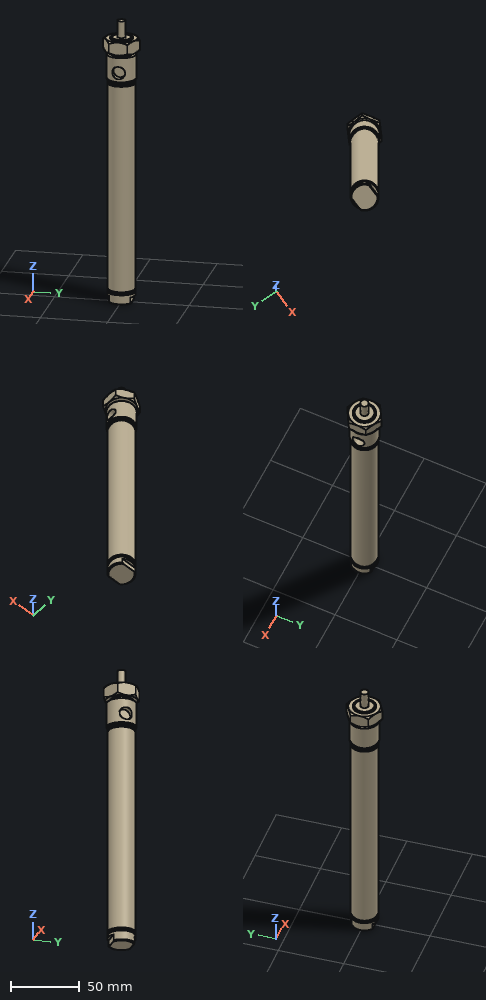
import cadquery as cq
import math

total_length = 215.1
stud_top = 202.5
nut_top = 201.8
nut_thickness = 10.0
collar_top = 189.5
collar_bottom = 171.0

tube_radius = 10.3
collar_radius = 11.0
stud_radius = 8.0
rod_radius = 3.0

stud_chamfer = 0.9
end_chamfer = 0.9

groove_width = 1.3
groove_depth = 0.6
groove_pitch = 1.3
lower_groove_center = 8.8
upper_groove_center = 168.7

flat_width = 16.0
flat_height = 5.2

port_radius = 4.7
port_depth = 5.4
port_height = 178.1

nut_across_flats = 23.9
nut_across_corners = nut_across_flats / math.cos(math.radians(30))
nut_face_radius = 11.8
nut_corner_drop = 1.5
nut_bore_chamfer = 0.6


def cylinder(radius, bottom, top):
    return cq.Workplane("XY").workplane(offset=bottom).circle(radius).extrude(top - bottom)


def roll_groove(center):
    """V-section ring to remove around the tube at one height."""
    half_width = groove_width / 2
    return (
        cq.Workplane("XZ")
        .moveTo(tube_radius, center - half_width)
        .lineTo(tube_radius - groove_depth, center)
        .lineTo(tube_radius, center + half_width)
        .close()
        .revolve(360, (0, 0, 0), (0, 1, 0))
    )


def wrench_flats():
    """Two blocks to remove, one on each Y side of the closed end."""
    block_depth = tube_radius
    center_y = flat_width / 2 + block_depth / 2
    return (
        cq.Workplane("XY")
        .pushPoints([(0, -center_y), (0, center_y)])
        .rect(2 * tube_radius, block_depth)
        .extrude(flat_height)
    )


def make_housing():
    tube = cylinder(tube_radius, 0, collar_bottom).faces("<Z").chamfer(end_chamfer)
    collar = cylinder(collar_radius, collar_bottom, collar_top)
    stud = cylinder(stud_radius, collar_top, stud_top).faces(">Z").chamfer(stud_chamfer)
    housing = tube.union(collar).union(stud)

    for pair_center in (lower_groove_center, upper_groove_center):
        for side in (-1, 1):
            housing = housing.cut(roll_groove(pair_center + side * groove_pitch / 2))

    port = (
        cq.Workplane("YZ", origin=(collar_radius, 0, port_height))
        .circle(port_radius)
        .extrude(-port_depth)
    )
    return housing.cut(wrench_flats()).cut(port)


def make_nut():
    nut_bottom = nut_top - nut_thickness
    corner_radius = nut_across_corners / 2
    hexagon = (
        cq.Workplane("XY", origin=(0, 0, nut_bottom))
        .transformed(rotate=(0, 0, 90))
        .polygon(6, nut_across_corners)
        .extrude(nut_thickness)
    )
    envelope = (
        cq.Workplane("XZ")
        .moveTo(0, nut_bottom)
        .lineTo(nut_face_radius, nut_bottom)
        .lineTo(corner_radius, nut_bottom + nut_corner_drop)
        .lineTo(corner_radius, nut_top - nut_corner_drop)
        .lineTo(nut_face_radius, nut_top)
        .lineTo(0, nut_top)
        .close()
        .revolve(360, (0, 0, 0), (0, 1, 0))
    )
    bore = cylinder(stud_radius, nut_bottom, nut_top)
    nut = hexagon.intersect(envelope).cut(bore)
    bore_rims = nut.edges("%CIRCLE").edges(cq.selectors.RadiusNthSelector(0))
    return bore_rims.chamfer(nut_bore_chamfer)


def make_rod():
    """Rod standing on the end face of the threaded stud."""
    return cylinder(rod_radius, stud_top, total_length)


housing = make_housing()
nut = make_nut()
rod = make_rod()

result = cq.Compound.makeCompound([housing.val(), nut.val(), rod.val()])